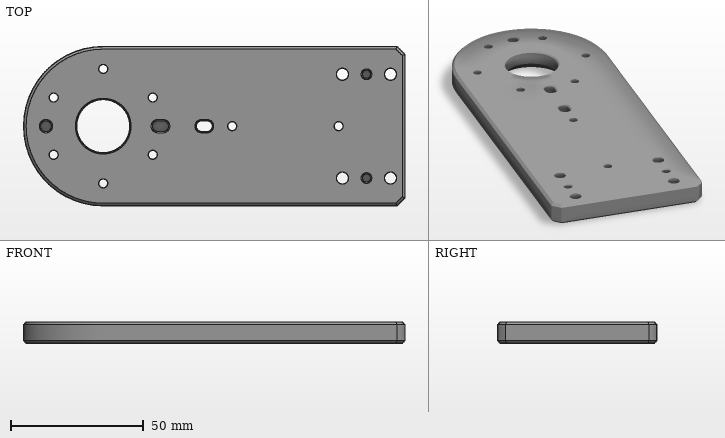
import cadquery as cq
import math

LENGTH = 143.5
WIDTH = 60.0
THICKNESS = 8.0
EDGE_CHAMFER = 1.0
CORNER_CUT = 3.0

END_RADIUS = WIDTH / 2
LEFT = -LENGTH / 2
RIGHT = LENGTH / 2
TOP = THICKNESS / 2
BORE_X = LEFT + END_RADIUS

BORE_DIAMETER = 20.0
BORE_CHAMFER = 0.5
BORE_UNDERSIDE_CHAMFER = 3.0
RING_RADIUS = 21.5
RING_HOLE_COUNT = 6
SMALL_HOLE_DIAMETER = 3.3

DOWEL_DIAMETER = 4.0
DOWEL_CHAMFER = 0.5
DOWEL_DEPTH = 6.0
SLOT_LENGTH = 6.0
THROUGH_SLOT_X = BORE_X + 38.0

CENTRE_HOLE_X = BORE_X + 48.5
CENTRE_HOLE_SPACING = 40.0

MOUNT_X = BORE_X + 99.0
MOUNT_Y = 19.5
MOUNT_HOLE_DIAMETER = 4.5
MOUNT_HOLE_SPACING = 18.1
MOUNT_PIN_DIAMETER = 3.0
MOUNT_PIN_CHAMFER = 0.5
MOUNT_PIN_DEPTH = 6.0


def plate():
    """Bar with a round end and two cut corners, chamfered around both faces."""
    outline = (
        cq.Workplane("XY", origin=(0, 0, -TOP))
        .moveTo(BORE_X, -END_RADIUS)
        .lineTo(RIGHT - CORNER_CUT, -END_RADIUS)
        .lineTo(RIGHT, -END_RADIUS + CORNER_CUT)
        .lineTo(RIGHT, END_RADIUS - CORNER_CUT)
        .lineTo(RIGHT - CORNER_CUT, END_RADIUS)
        .lineTo(BORE_X, END_RADIUS)
        .threePointArc((LEFT, 0), (BORE_X, -END_RADIUS))
        .close()
    )
    return outline.extrude(THICKNESS).faces("<Z or >Z").chamfer(EDGE_CHAMFER)


def round_cutter(x, y, diameter, depth=THICKNESS, chamfer=0):
    """Cylinder going down from the top face, with an optional flared mouth."""
    cutter = cq.Workplane("XY", origin=(x, y, TOP)).circle(diameter / 2).extrude(-depth)
    if chamfer:
        cutter = cutter.union(
            cq.Workplane("XY", origin=(x, y, TOP))
            .circle(diameter / 2 + chamfer)
            .extrude(-chamfer, taper=45)
        )
    return cutter


def slot_cutter(x, depth):
    """Slot along X going down from the top face, with a flared mouth."""
    slot = cq.Workplane("XY", origin=(x, 0, TOP)).slot2D(SLOT_LENGTH, DOWEL_DIAMETER).extrude(-depth)
    mouth = (
        cq.Workplane("XY", origin=(x, 0, TOP))
        .slot2D(SLOT_LENGTH + 2 * DOWEL_CHAMFER, DOWEL_DIAMETER + 2 * DOWEL_CHAMFER)
        .extrude(-DOWEL_CHAMFER, taper=45)
    )
    return slot.union(mouth)


result = plate()

result = result.cut(round_cutter(BORE_X, 0, BORE_DIAMETER, chamfer=BORE_CHAMFER))
underside_cutter = round_cutter(BORE_X, 0, BORE_DIAMETER, chamfer=BORE_UNDERSIDE_CHAMFER).mirror("XY")
result = result.cut(underside_cutter)

for index in range(RING_HOLE_COUNT):
    angle = math.radians(90 + index * 360 / RING_HOLE_COUNT)
    hole_x = BORE_X + RING_RADIUS * math.cos(angle)
    hole_y = RING_RADIUS * math.sin(angle)
    result = result.cut(round_cutter(hole_x, hole_y, SMALL_HOLE_DIAMETER))

result = result.cut(round_cutter(BORE_X - RING_RADIUS, 0, DOWEL_DIAMETER, DOWEL_DEPTH, DOWEL_CHAMFER))
result = result.cut(slot_cutter(BORE_X + RING_RADIUS, DOWEL_DEPTH))
result = result.cut(slot_cutter(THROUGH_SLOT_X, THICKNESS))

for hole_x in (CENTRE_HOLE_X, CENTRE_HOLE_X + CENTRE_HOLE_SPACING):
    result = result.cut(round_cutter(hole_x, 0, SMALL_HOLE_DIAMETER))

for hole_y in (-MOUNT_Y, MOUNT_Y):
    result = result.cut(
        round_cutter(MOUNT_X, hole_y, MOUNT_PIN_DIAMETER, MOUNT_PIN_DEPTH, MOUNT_PIN_CHAMFER)
    )
    for side in (-1, 1):
        hole_x = MOUNT_X + side * MOUNT_HOLE_SPACING / 2
        result = result.cut(round_cutter(hole_x, hole_y, MOUNT_HOLE_DIAMETER))